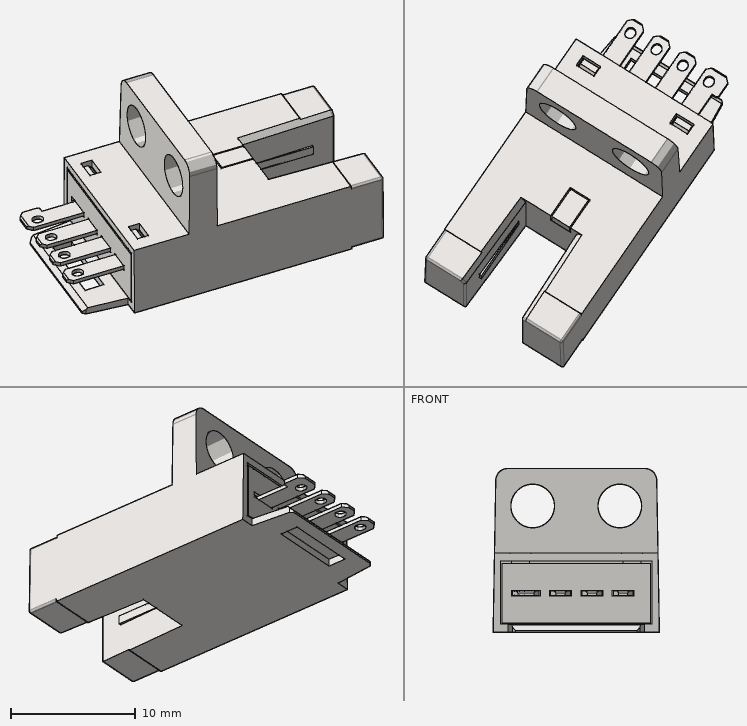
import cadquery as cq
import math


overall_length = 27.05
base_width = 13.4
body_length = 22.2
body_height = 6.38
total_height = 13.2
draft = math.tan(math.radians(1))

slot_root_y = 13.7
slot_root_half = 2.45
slot_mouth_half = 2.7
slot_bevel = 0.45
tip_start_y = 19.31
tip_step = 0.08
tip_round = 0.2

flange_front_y = 4.9
flange_back_y = 7.4
flange_corner_radius = 1.0
hole_diameter = 3.5
hole_spacing = 7.0
hole_z = 10.17

opening_half = 6.09
opening_bottom = 0.68
opening_top = 5.73
cover_depth = 2.7
rim_gap_side = 0.1
rim_gap_bottom = 0.08
rim_gap_top = 0.2
rim_gap_depth = 0.4

latch_center_x = 4.5
latch_width = 1.45
latch_front_y = 0.97
latch_crest_y = 1.5
latch_back_y = 1.8
latch_top = 6.03
window_width = 1.7
window_front_y = 0.9
window_back_y = 1.87

tab_root_half = 5.5
tab_end_half = 5.15
tab_length = 3.85
tab_corner = 0.25
tab_bevel_length = 0.4
tab_end_height = 0.15
tab_opening_half = 3.05
tab_opening_near = 1.03
tab_opening_far = 2.68

terminal_width = 1.6
terminal_pitch = 2.52
terminal_count = 4
terminal_bottom = 2.98
terminal_thickness = 0.35
terminal_reach = overall_length - body_length
terminal_embed = 1.35
terminal_corner = 0.43
terminal_tip_bevel = 0.14
eyelet_y = -3.68
eyelet_width = 0.8
eyelet_length = 0.95
lug_extra = 0.55
lug_start_y = -2.92
lug_corner = 0.14
socket_gap_side = 0.08
socket_gap_height = 0.05
socket_depth = 0.27

indicator_center_x = -0.9
indicator_pocket_width = 1.92
indicator_front_y = 10.82
indicator_gap = 0.1
indicator_depth = 1.08

optic_start_y = 14.7
optic_end_y = 20.2
optic_height = 0.75
optic_depth = 0.55

overcut = 0.27


def box(x0, x1, y0, y1, z0, z1):
    """Axis-aligned box between two corners."""
    return cq.Workplane("XY").box(x1 - x0, y1 - y0, z1 - z0, centered=False).translate((x0, y0, z0))


def half_width(z):
    """Half the housing width at height z, narrowing upward with the draft."""
    return base_width / 2 - draft * z


def extrude_along_y(profile_points, y0, y1):
    """Prism from an XZ outline, running from y0 to y1."""
    outline = cq.Workplane("XZ", origin=(0, y0, 0)).polyline(profile_points).close()
    return outline.extrude(y0 - y1)


def mirrored(right_points):
    """Close a right-hand half outline, listed bottom to top, with its mirror image."""
    return right_points + [(-x, z) for x, z in reversed(right_points)]



def make_fork_slot():
    """Slot that widens toward the arm tips, with bevelled upper edges."""
    def section(half):
        return mirrored([
            (half, -overcut),
            (half, body_height - slot_bevel),
            (half + slot_bevel + overcut, body_height + overcut),
        ])

    return (
        cq.Workplane("XZ", origin=(0, slot_root_y, 0))
        .polyline(section(slot_root_half)).close()
        .workplane(offset=slot_root_y - body_length)
        .polyline(section(slot_mouth_half)).close()
        .loft(ruled=True)
    )


def make_fork_body():
    """Drafted block split by the slot; the arm tips step in and have rounded outer edges."""
    slot = make_fork_slot()
    low = tip_step
    high = body_height - tip_step
    tip_outline = [(half_width(low), low), (half_width(high), high)]
    tips = extrude_along_y(mirrored(tip_outline), tip_start_y, body_length)
    tips = tips.edges("|Y").fillet(tip_round).cut(slot)
    tips = tips.faces(">Y").edges().fillet(tip_round)
    block_outline = [(half_width(0), 0), (half_width(body_height), body_height)]
    block = extrude_along_y(mirrored(block_outline), 0, tip_start_y).cut(slot)
    return block.union(tips)


def make_flange():
    outline = mirrored([(half_width(0), 0), (half_width(total_height), total_height)])
    flange = extrude_along_y(outline, flange_front_y, flange_back_y)
    flange = flange.edges("|Y and >Z").fillet(flange_corner_radius)
    rise = total_height - body_height
    front_wedge = (
        cq.Workplane("YZ")
        .moveTo(flange_front_y, body_height)
        .line(draft * rise, rise)
        .line(-draft * rise, 0)
        .close()
        .extrude(base_width / 2, both=True)
    )
    holes = (
        cq.Workplane("XZ")
        .pushPoints([(-hole_spacing / 2, hole_z), (hole_spacing / 2, hole_z)])
        .circle(hole_diameter / 2)
        .extrude(-body_length)
    )
    return flange.cut(front_wedge).cut(holes)


def make_tab():
    """Guard tab continuing the housing floor, with a sloped top and bevelled end."""
    plan = [
        (tab_root_half, 0),
        (tab_end_half, tab_corner - tab_length),
        (tab_end_half - tab_corner, -tab_length),
    ]
    slab = cq.Workplane("XY").polyline(mirrored(plan)).close().extrude(opening_bottom)
    bevel_y = tab_bevel_length - tab_length
    side_profile = (
        cq.Workplane("YZ")
        .polyline([
            (0, 0),
            (0, opening_bottom),
            (bevel_y, opening_bottom + draft * bevel_y),
            (-tab_length, tab_end_height),
            (-tab_length, 0),
        ])
        .close()
        .extrude(tab_root_half, both=True)
    )
    opening = box(-tab_opening_half, tab_opening_half, -tab_opening_far, -tab_opening_near,
                  -overcut, opening_bottom + overcut)
    return slab.intersect(side_profile).cut(opening)


def make_housing():
    housing = make_fork_body().union(make_flange())
    opening = box(-opening_half, opening_half, 0, cover_depth, opening_bottom, opening_top)
    housing = housing.cut(opening).union(make_tab())
    for side in (-1, 1):
        x = side * latch_center_x
        housing = housing.cut(box(x - window_width / 2, x + window_width / 2, window_front_y,
                                  window_back_y, opening_top, body_height))
    half_pocket = indicator_pocket_width / 2
    pocket = box(indicator_center_x - half_pocket, indicator_center_x + half_pocket,
                 indicator_front_y, slot_root_y, body_height - indicator_depth, body_height)
    return housing.cut(pocket)



def make_latch(center_x):
    """Ramp through the rim gap, then a hook that snaps into the roof window."""
    cover_top = opening_top - rim_gap_top
    profile = [
        (0, cover_top),
        (rim_gap_depth, opening_top),
        (latch_front_y, opening_top),
        (latch_front_y, latch_top),
        (latch_crest_y, latch_top),
        (latch_back_y, opening_top),
        (latch_back_y, cover_top),
    ]
    latch = cq.Workplane("YZ", origin=(center_x, 0, 0)).polyline(profile).close()
    return latch.extrude(latch_width / 2, both=True)


def make_cover():
    plug = box(-opening_half, opening_half, rim_gap_depth, cover_depth, opening_bottom, opening_top)
    face_half = opening_half - rim_gap_side
    face = box(-face_half, face_half, 0, rim_gap_depth, opening_bottom + rim_gap_bottom,
               opening_top - rim_gap_top)
    cover = plug.union(face)
    for side in (-1, 1):
        cover = cover.union(make_latch(side * latch_center_x))
    return cover


def make_socket(center_x, extra):
    """Clearance recess around one terminal where it leaves the cover."""
    half = terminal_width / 2 + socket_gap_side
    bottom = terminal_bottom - socket_gap_height
    top = terminal_bottom + terminal_thickness + socket_gap_height
    return box(center_x - half - extra, center_x + half, 0, socket_depth, bottom, top)



def make_terminal(center_x, extra):
    """Flat solder terminal; `extra` widens its outer end toward -X into a lug."""
    half = terminal_width / 2
    end_y = -terminal_reach
    shoulder_y = end_y + terminal_corner
    plan = [
        (half, terminal_embed),
        (half, shoulder_y),
        (half - terminal_corner, end_y),
        (terminal_corner - half - extra, end_y),
        (-half - extra, shoulder_y),
    ]
    if extra:
        plan += [
            (-half - extra, lug_start_y - lug_corner),
            (lug_corner - half - extra, lug_start_y),
            (-half, lug_start_y),
        ]
    plan.append((-half, terminal_embed))
    blade = cq.Workplane("XY").polyline(plan).close().extrude(terminal_thickness)
    blade = blade.faces("<Y").edges(">Z").chamfer(terminal_tip_bevel)
    eyelet = (
        cq.Workplane("XY")
        .center(0, eyelet_y)
        .slot2D(eyelet_length, eyelet_width, 90)
        .extrude(terminal_thickness)
    )
    return blade.cut(eyelet).translate((center_x, 0, terminal_bottom))



def make_indicator():
    half = indicator_pocket_width / 2 - indicator_gap
    return box(indicator_center_x - half, indicator_center_x + half, indicator_front_y + indicator_gap,
               slot_root_y, body_height - indicator_depth, body_height)


def make_optic(side):
    """Window strip set into the inner wall of one arm, its face parallel to Y."""
    face_x = side * slot_root_half
    back_x = side * (slot_root_half + optic_depth)
    middle = body_height / 2
    return box(min(face_x, back_x), max(face_x, back_x), optic_start_y, optic_end_y,
               middle - optic_height / 2, middle + optic_height / 2)



housing = make_housing()
cover = make_cover()
indicator = make_indicator()

terminals = []
for index in range(terminal_count):
    terminal_x = (index - (terminal_count - 1) / 2) * terminal_pitch
    lug = lug_extra if index == 0 else 0
    terminal = make_terminal(terminal_x, lug)
    cover = cover.cut(make_socket(terminal_x, lug)).cut(terminal)
    terminals.append(terminal.solids().val())

optics = []
for side in (-1, 1):
    optic = make_optic(side)
    housing = housing.cut(optic)
    optics.append(optic.solids().val())

result = cq.Compound.makeCompound(
    [housing.solids().val(), cover.solids().val(), indicator.solids().val(), *terminals, *optics]
)